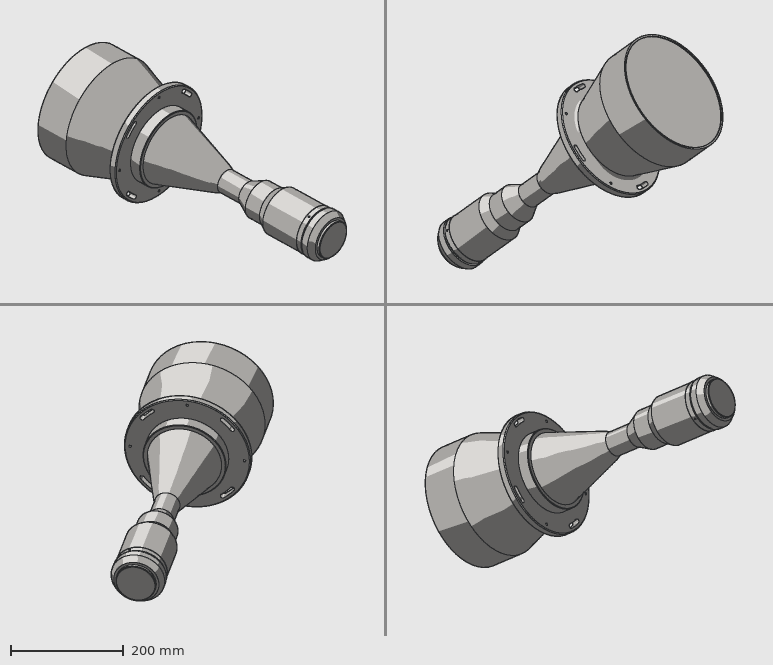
import cadquery as cq
import math

TOTAL_LENGTH = 605.5

BARREL_R = 115.0
BARREL_END_X = 68.0
FRONT_CONE_END_X = 165.5
FRONT_CONE_END_R = 83.0

GLASS_R = 111.5
GLASS_EDGE_DEPTH = 2.0

FLANGE_X = 172.0
FLANGE_THICKNESS = 15.0
FLANGE_R = 115.0
FLANGE_CHAMFER = 2.0
FLANGE_BACK_X = FLANGE_X + FLANGE_THICKNESS
FLANGE_ROOT_FILLET = FLANGE_X - FRONT_CONE_END_X

BOSS_R = 76.0
BOSS_END_X = 210.0
BOSS_CHAMFER = 1.0

REAR_CONE_START_R = 68.0
REAR_CONE_END_X = 335.5
REAR_CONE_END_R = 28.5
NECK_R = 23.0
NECK_START_X = 348.0
NECK_END_X = 399.0

SLEEVE_R = 37.5
SLEEVE_START_X = 428.0
SLEEVE_END_X = 462.0
HOUSING_R = 47.0
HOUSING_START_X = 479.0

CLAMP_R = 48.0
CLAMP_START_X = 560.0
CLAMP_END_X = 571.0
GROOVE_R = 45.5
CAP_START_X = 574.0
CAP_R = 49.0
CAP_CONE_START_X = 587.5
CAP_CONE_END_X = 599.5
CAP_CONE_END_R = 41.0
END_R = 36.5
END_CHAMFER = 1.0

BOLT_CIRCLE_R = 104.0
OPENING_COUNT = 4
OPENING_STEP = 360.0 / OPENING_COUNT
SLOT_WIDTH = 8.0
SLOT_SWEEP = 14.0
FIRST_SLOT_ANGLE = 45.0
FLANGE_HOLE_D = 4.0

SET_SCREW_COUNT = 3
SET_SCREW_D = 3.0
SET_SCREW_DEPTH = 6.0
FIRST_SET_SCREW_ANGLE = 25.0


def make_body():
    """Revolve the half outline, drawn as (x, r), about the X axis."""
    dome_sphere_r = (GLASS_R**2 + GLASS_EDGE_DEPTH**2) / (2 * GLASS_EDGE_DEPTH)
    dome_mid_r = GLASS_R / 2
    dome_mid_x = dome_sphere_r - math.sqrt(dome_sphere_r**2 - dome_mid_r**2)
    fillet_end_r = FRONT_CONE_END_R + FLANGE_ROOT_FILLET
    fillet_mid_offset = FLANGE_ROOT_FILLET * math.sin(math.radians(45))

    outline = (
        cq.Workplane("XY")
        .moveTo(0, 0)
        .threePointArc((dome_mid_x, dome_mid_r), (GLASS_EDGE_DEPTH, GLASS_R))
        .lineTo(0, GLASS_R)
        .lineTo(0, BARREL_R)
        .lineTo(BARREL_END_X, BARREL_R)
        .lineTo(FRONT_CONE_END_X, FRONT_CONE_END_R)
        .threePointArc(
            (FRONT_CONE_END_X + fillet_mid_offset, fillet_end_r - fillet_mid_offset),
            (FLANGE_X, fillet_end_r),
        )
        .lineTo(FLANGE_X, FLANGE_R - FLANGE_CHAMFER)
        .lineTo(FLANGE_X + FLANGE_CHAMFER, FLANGE_R)
        .lineTo(FLANGE_BACK_X - FLANGE_CHAMFER, FLANGE_R)
        .lineTo(FLANGE_BACK_X, FLANGE_R - FLANGE_CHAMFER)
        .lineTo(FLANGE_BACK_X, BOSS_R)
        .lineTo(BOSS_END_X - BOSS_CHAMFER, BOSS_R)
        .lineTo(BOSS_END_X, BOSS_R - BOSS_CHAMFER)
        .lineTo(BOSS_END_X, REAR_CONE_START_R)
        .lineTo(REAR_CONE_END_X, REAR_CONE_END_R)
        .lineTo(NECK_START_X, NECK_R)
        .lineTo(NECK_END_X, NECK_R)
        .lineTo(SLEEVE_START_X, SLEEVE_R)
        .lineTo(SLEEVE_END_X, SLEEVE_R)
        .lineTo(HOUSING_START_X, HOUSING_R)
        .lineTo(CLAMP_START_X, HOUSING_R)
        .lineTo(CLAMP_START_X, CLAMP_R)
        .lineTo(CLAMP_END_X, CLAMP_R)
        .lineTo(CLAMP_END_X, GROOVE_R)
        .lineTo(CAP_START_X, GROOVE_R)
        .lineTo(CAP_START_X, CAP_R)
        .lineTo(CAP_CONE_START_X, CAP_R)
        .lineTo(CAP_CONE_END_X, CAP_CONE_END_R)
        .lineTo(CAP_CONE_END_X, END_R)
        .lineTo(TOTAL_LENGTH - END_CHAMFER, END_R)
        .lineTo(TOTAL_LENGTH, END_R - END_CHAMFER)
        .lineTo(TOTAL_LENGTH, 0)
        .close()
    )
    return outline.revolve(360, (0, 0, 0), (1, 0, 0))


def polar(radius, angle):
    """Point at an angle in degrees, measured from +Y toward +Z."""
    return (radius * math.cos(math.radians(angle)), radius * math.sin(math.radians(angle)))


def make_flange_slot(centre_angle):
    """Cutter for one round-ended arc slot on the bolt circle."""
    inner_r = BOLT_CIRCLE_R - SLOT_WIDTH / 2
    outer_r = BOLT_CIRCLE_R + SLOT_WIDTH / 2
    start = centre_angle - SLOT_SWEEP / 2
    end = centre_angle + SLOT_SWEEP / 2
    end_cap_angle = math.degrees(SLOT_WIDTH / 2 / BOLT_CIRCLE_R)
    return (
        cq.Workplane("YZ", origin=(FLANGE_X, 0, 0))
        .moveTo(*polar(outer_r, start))
        .threePointArc(polar(outer_r, centre_angle), polar(outer_r, end))
        .threePointArc(polar(BOLT_CIRCLE_R, end + end_cap_angle), polar(inner_r, end))
        .threePointArc(polar(inner_r, centre_angle), polar(inner_r, start))
        .threePointArc(polar(BOLT_CIRCLE_R, start - end_cap_angle), polar(outer_r, start))
        .close()
        .extrude(FLANGE_THICKNESS)
    )


def make_flange_holes():
    """Cutter for the small through holes between the slots."""
    return (
        cq.Workplane("YZ", origin=(FLANGE_X, 0, 0))
        .polarArray(BOLT_CIRCLE_R, 0, 360, OPENING_COUNT)
        .circle(FLANGE_HOLE_D / 2)
        .extrude(FLANGE_THICKNESS)
    )


def make_set_screw_hole(angle):
    """Cutter for one blind radial hole, its angle measured from +Z toward -Y."""
    hole_x = (CLAMP_START_X + CLAMP_END_X) / 2
    return (
        cq.Workplane("XY", origin=(hole_x, 0, CLAMP_R - SET_SCREW_DEPTH))
        .circle(SET_SCREW_D / 2)
        .extrude(2 * SET_SCREW_DEPTH)
        .rotate((0, 0, 0), (1, 0, 0), angle)
    )


result = make_body().cut(make_flange_holes())
for slot in range(OPENING_COUNT):
    result = result.cut(make_flange_slot(FIRST_SLOT_ANGLE + slot * OPENING_STEP))
for screw in range(SET_SCREW_COUNT):
    screw_angle = FIRST_SET_SCREW_ANGLE + screw * 360.0 / SET_SCREW_COUNT
    result = result.cut(make_set_screw_hole(screw_angle))